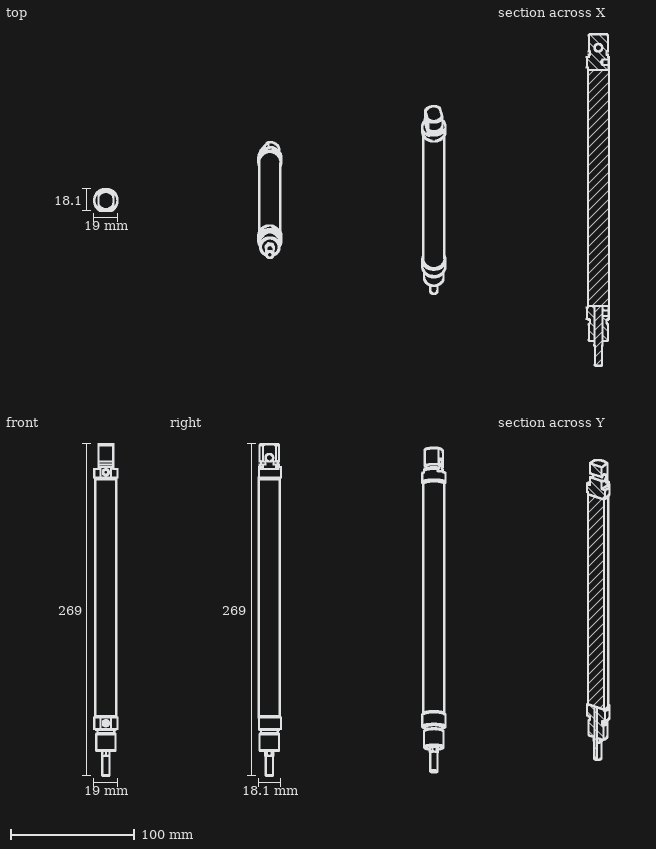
import cadquery as cq
import math


rod_thread_length = 16.0
nose_bottom = 20.0
nose_top = 34.7
front_collar_bottom = 37.2
front_cap_bottom = 37.8
front_cap_top = 47.5
barrel_bottom = 48.6
barrel_top = 240.3
rear_cap_bottom = 241.8
rear_cap_top = 250.7
rear_collar_top = 252.4
eye_bottom = 255.0
eye_top = 269.0

cap_diameter = 19.0
barrel_diameter = 17.27
neck_diameter = 17.2
thread_diameter = 16.0
relief_diameter = 13.7
rod_thread_diameter = 6.0
port_diameter = 4.13
port_mouth_diameter = 5.0
eye_hole_diameter = 6.0

port_flat_distance = 8.5
eye_width = 12.0
eye_flat_bottom = 249.0
eye_hole_height = 258.0
rod_across_flats = 6.0
nose_chamfer = 0.75
eye_chamfer = 1.0
rod_tip_chamfer = 0.55
rod_chamfer_angle = 30.0
rear_port_depth = 5.0
drill_point_angle = 118.0

rod_across_corners = 2 * rod_across_flats / math.sqrt(3)
front_port_height = (front_cap_bottom + front_cap_top) / 2
rear_port_height = (rear_cap_bottom + rear_cap_top) / 2


def disc(diameter, bottom, top):
    """Upright cylinder on the Z axis between two heights."""
    return cq.Workplane("XY").workplane(offset=bottom).circle(diameter / 2).extrude(top - bottom)


def cap_ring(bottom, top):
    """Wide ring of an end cap with the flat on its -Y side where the port opens."""
    ring = disc(cap_diameter, bottom, top)
    keep = cq.Workplane("XY").box(
        cap_diameter, port_flat_distance + cap_diameter / 2, top - bottom, centered=(True, False, False)
    )
    return ring.intersect(keep.translate((0, -port_flat_distance, bottom)))


def port_cutter(height, depth):
    """Drilled port: a chamfered mouth, a straight bore and a conical bottom, along +Y."""
    bore_radius = port_diameter / 2
    mouth_radius = port_mouth_diameter / 2
    point_length = bore_radius / math.tan(math.radians(drill_point_angle / 2))
    profile = [
        (0, 0),
        (mouth_radius, 0),
        (bore_radius, mouth_radius - bore_radius),
        (bore_radius, depth),
        (0, depth + point_length),
    ]
    cutter = cq.Workplane("XY").polyline(profile).close().revolve(360, (0, 0, 0), (0, 1, 0))
    return cutter.translate((0, -port_flat_distance, height))


def make_rod():
    """Hexagonal rod with corners facing -Y and +Y, and a chamfered round thread at its tip."""
    thread = disc(rod_thread_diameter, 0, rod_thread_length).faces("<Z").chamfer(rod_tip_chamfer)
    hexagon_length = barrel_bottom - rod_thread_length
    hexagon = (
        cq.Workplane("XY")
        .workplane(offset=rod_thread_length)
        .transformed(rotate=(0, 0, 90))
        .polygon(6, rod_across_corners)
        .extrude(hexagon_length)
    )
    corner_chamfer_width = (rod_across_corners - rod_thread_diameter) / 2
    corner_chamfer_height = corner_chamfer_width / math.tan(math.radians(rod_chamfer_angle))
    envelope = disc(rod_across_corners, rod_thread_length, barrel_bottom)
    envelope = envelope.faces("<Z").chamfer(corner_chamfer_height, corner_chamfer_width)
    return thread.union(hexagon.intersect(envelope))


def make_front_cap(rod):
    """Front cap: threaded nose, thread relief, collar, ported ring and the neck under the barrel."""
    relief_cone = (thread_diameter - relief_diameter) / 2
    nose = disc(thread_diameter, nose_bottom, nose_top).faces("<Z").chamfer(nose_chamfer)
    nose = nose.faces(">Z").chamfer(relief_cone)
    cap = (
        nose.union(disc(relief_diameter, nose_top, front_collar_bottom))
        .union(disc(thread_diameter, front_collar_bottom, front_cap_bottom))
        .union(cap_ring(front_cap_bottom, front_cap_top))
        .union(disc(neck_diameter, front_cap_top, barrel_bottom))
    )
    port_depth = port_flat_distance - rod_across_flats / 2
    return cap.cut(port_cutter(front_port_height, port_depth)).cut(rod)


def make_barrel():
    """Plain barrel between the necks of the two caps."""
    return disc(barrel_diameter, barrel_bottom, barrel_top)


def make_rear_cap():
    """Rear cap: neck, ported ring, collar, relief and the flattened eye with its cross hole."""
    eye = disc(thread_diameter, eye_bottom, eye_top).faces(">Z").chamfer(eye_chamfer)
    cap = (
        disc(neck_diameter, barrel_top, rear_cap_bottom)
        .union(cap_ring(rear_cap_bottom, rear_cap_top))
        .union(disc(thread_diameter, rear_cap_top, rear_collar_top))
        .union(disc(relief_diameter, rear_collar_top, eye_bottom))
        .union(eye)
    )
    side_waste = cq.Workplane("XY").box(
        cap_diameter, 2 * cap_diameter, eye_top - eye_flat_bottom, centered=(False, True, False)
    )
    side_waste = side_waste.translate((eye_width / 2, 0, eye_flat_bottom))
    eye_hole = (
        cq.Workplane("YZ")
        .center(0, eye_hole_height)
        .circle(eye_hole_diameter / 2)
        .extrude(eye_width / 2, both=True)
    )
    return (
        cap.cut(side_waste)
        .cut(side_waste.mirror("YZ"))
        .cut(eye_hole)
        .cut(port_cutter(rear_port_height, rear_port_depth))
    )


rod = make_rod()
front_cap = make_front_cap(rod)
barrel = make_barrel()
rear_cap = make_rear_cap()

result = cq.Compound.makeCompound([rod.val(), front_cap.val(), barrel.val(), rear_cap.val()])